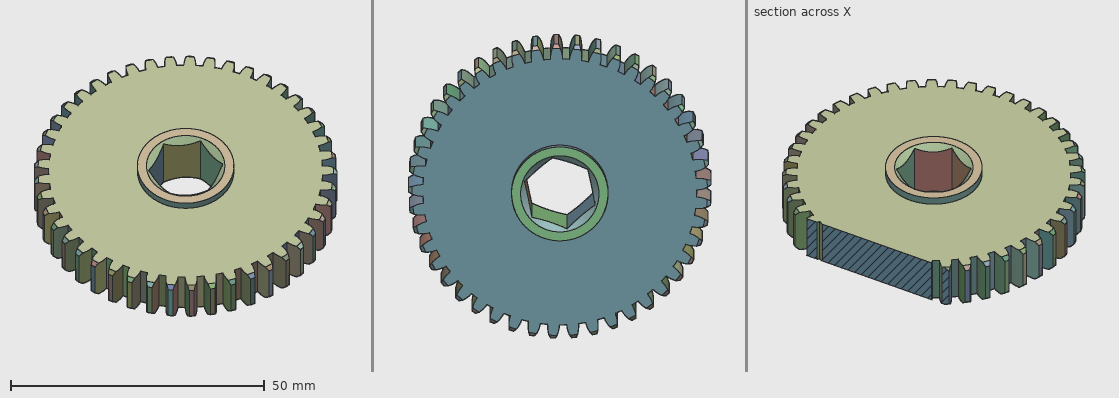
import cadquery as cq
import math

INCH = 25.4

TOOTH_COUNT = 45
MODULE = INCH / 20
PRESSURE_ANGLE = math.radians(20)
DEDENDUM_FACTOR = 1.25
ROOT_GAP_WIDTH = 1.38
BACKLASH = 0.04

FACE_WIDTH = 3 / 8 * INCH
TOTAL_WIDTH = INCH / 2
HUB_DIAMETER = 3 / 4 * INCH
TIP_CHAMFER = 0.75

HEX_ACROSS_FLATS = INCH / 2
LEAD_IN_DIAMETER = 15.45
LEAD_IN_HALF_ANGLE = math.radians(45)

PITCH_RADIUS = MODULE * TOOTH_COUNT / 2
BASE_RADIUS = PITCH_RADIUS * math.cos(PRESSURE_ANGLE)
TIP_RADIUS = PITCH_RADIUS + MODULE
ROOT_RADIUS = PITCH_RADIUS - DEDENDUM_FACTOR * MODULE
TOOTH_PITCH = 2 * math.pi / TOOTH_COUNT
FIRST_TOOTH_ANGLE = -math.pi / 2


def polar(radius, angle):
    return (radius * math.cos(angle), radius * math.sin(angle))


def involute(angle):
    return math.tan(angle) - angle


def half_tooth_angle(radius):
    """Half the angle a tooth spans at a radius on its involute profile."""
    flank_angle = math.acos(BASE_RADIUS / radius)
    half_at_pitch = TOOTH_PITCH / 4 - BACKLASH / 2 / PITCH_RADIUS
    return half_at_pitch + involute(PRESSURE_ANGLE) - involute(flank_angle)


def bottom_plane(width):
    """Workplane at the lower end of a body of this width centred on Z = 0."""
    return cq.Workplane("XY", origin=(0, 0, -width / 2))


def gear_outline():
    """Outline with arc flanks, on the involute at the pitch and tip circles."""
    half_root = (TOOTH_PITCH - ROOT_GAP_WIDTH / ROOT_RADIUS) / 2
    half_pitch = half_tooth_angle(PITCH_RADIUS)
    half_tip = half_tooth_angle(TIP_RADIUS)
    outline = bottom_plane(FACE_WIDTH).moveTo(*polar(ROOT_RADIUS, FIRST_TOOTH_ANGLE - half_root))
    for tooth in range(TOOTH_COUNT):
        center = FIRST_TOOTH_ANGLE + tooth * TOOTH_PITCH
        gap_center = center + TOOTH_PITCH / 2
        next_center = center + TOOTH_PITCH
        tip_start = polar(TIP_RADIUS, center - half_tip)
        tip_end = polar(TIP_RADIUS, center + half_tip)
        root_start = polar(ROOT_RADIUS, center + half_root)
        root_end = polar(ROOT_RADIUS, next_center - half_root)
        outline = (
            outline.threePointArc(polar(PITCH_RADIUS, center - half_pitch), tip_start)
            .threePointArc(polar(TIP_RADIUS, center), tip_end)
            .threePointArc(polar(PITCH_RADIUS, center + half_pitch), root_start)
            .threePointArc(polar(ROOT_RADIUS, gap_center), root_end)
        )
    return outline.close()


def toothed_wheel():
    """Toothed disc centred on Z = 0, with the tooth tips bevelled on both faces."""
    wheel = gear_outline().extrude(FACE_WIDTH)
    bevelled_disc = (
        bottom_plane(FACE_WIDTH)
        .circle(TIP_RADIUS)
        .extrude(FACE_WIDTH)
        .edges("%CIRCLE")
        .chamfer(TIP_CHAMFER)
    )
    return wheel.intersect(bevelled_disc)


def hub():
    return bottom_plane(TOTAL_WIDTH).circle(HUB_DIAMETER / 2).extrude(TOTAL_WIDTH)


def hex_bore():
    across_corners = HEX_ACROSS_FLATS / math.cos(math.pi / 6)
    return bottom_plane(TOTAL_WIDTH).polygon(6, across_corners).extrude(TOTAL_WIDTH)


def lead_in(side):
    """Cone opening the bore at the +Z (side = 1) or -Z (side = -1) end."""
    mouth_radius = LEAD_IN_DIAMETER / 2
    depth = mouth_radius / math.tan(LEAD_IN_HALF_ANGLE)
    mouth = cq.Vector(0, 0, side * TOTAL_WIDTH / 2)
    cone = cq.Solid.makeCone(mouth_radius, 0, depth, mouth, cq.Vector(0, 0, -side))
    return cq.Workplane(cone)


result = toothed_wheel().union(hub()).cut(hex_bore())
for end in (1, -1):
    result = result.cut(lead_in(end))